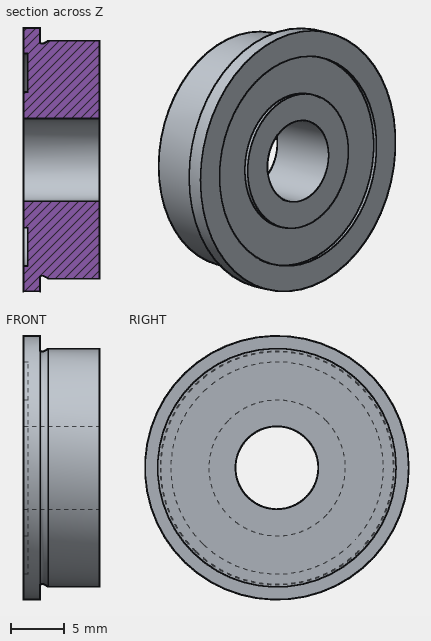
import cadquery as cq
import math

width = 7.11
flange_radius = 24.61 / 2
flange_thickness = 1.57
body_radius = 22.225 / 2
bore_radius = 7.7 / 2

flange_side_arc_radius = 0.35
cone_side_arc_radius = 0.3
relief_floor_radius = 10.84
flange_to_floor = 0.21
relief_floor_x = flange_thickness + flange_to_floor
cone_angle = math.radians(30)

recess_inner_radius = 6.35
recess_outer_radius = 9.9
recess_depth = 0.4


def relief_point(arc_radius, angle):
    """Point (x, radius) on a relief arc, at a signed angle from its lowest point."""
    x = relief_floor_x + arc_radius * math.sin(angle)
    radius = relief_floor_radius + arc_radius * (1 - math.cos(angle))
    return x, radius


def make_ring():
    """Flange, relief and body as one revolved section with the bore through it."""
    flange_side_angle = -math.asin(flange_to_floor / flange_side_arc_radius)
    flange_side_start = relief_point(flange_side_arc_radius, flange_side_angle)
    flange_side_middle = relief_point(flange_side_arc_radius, flange_side_angle / 2)
    cone_side_middle = relief_point(cone_side_arc_radius, cone_angle / 2)
    relief_floor = (relief_floor_x, relief_floor_radius)
    cone_start = relief_point(cone_side_arc_radius, cone_angle)
    cone_length = (body_radius - cone_start[1]) / math.tan(cone_angle)
    cone_end_x = cone_start[0] + cone_length

    section = (
        cq.Workplane("XY")
        .moveTo(0, bore_radius)
        .lineTo(0, flange_radius)
        .lineTo(flange_thickness, flange_radius)
        .lineTo(*flange_side_start)
        .threePointArc(flange_side_middle, relief_floor)
        .threePointArc(cone_side_middle, cone_start)
        .lineTo(cone_end_x, body_radius)
        .lineTo(width, body_radius)
        .lineTo(width, bore_radius)
        .close()
    )
    return section.revolve(360, (0, 0, 0), (1, 0, 0))


def make_face_recess():
    """Ring of material removed from the flange face."""
    return (
        cq.Workplane("YZ")
        .circle(recess_outer_radius)
        .circle(recess_inner_radius)
        .extrude(recess_depth)
    )


result = make_ring().cut(make_face_recess())